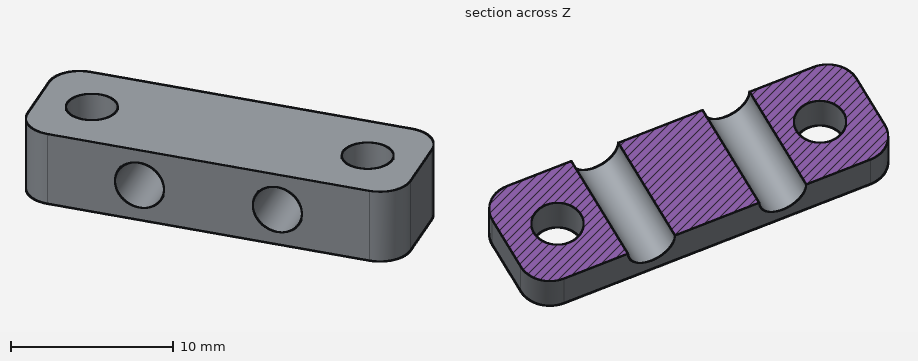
import cadquery as cq

length = 25
width = 8
height = 5
corner_radius = width / 4

hole_diameter = 3.2
vertical_hole_spacing = 18
cross_hole_spacing = vertical_hole_spacing / 2


def hole_pair(plane, spacing, depth):
    """Two cylinders spaced along X, centred on the block and running along the plane's normal."""
    return (
        cq.Workplane(plane)
        .pushPoints([(-spacing / 2, 0), (spacing / 2, 0)])
        .circle(hole_diameter / 2)
        .extrude(depth / 2, both=True)
    )


block = cq.Workplane("XY").box(length, width, height).edges("|Z").fillet(corner_radius)

vertical_holes = hole_pair("XY", vertical_hole_spacing, height)
cross_holes = hole_pair("XZ", cross_hole_spacing, width)

result = block.cut(vertical_holes).cut(cross_holes)